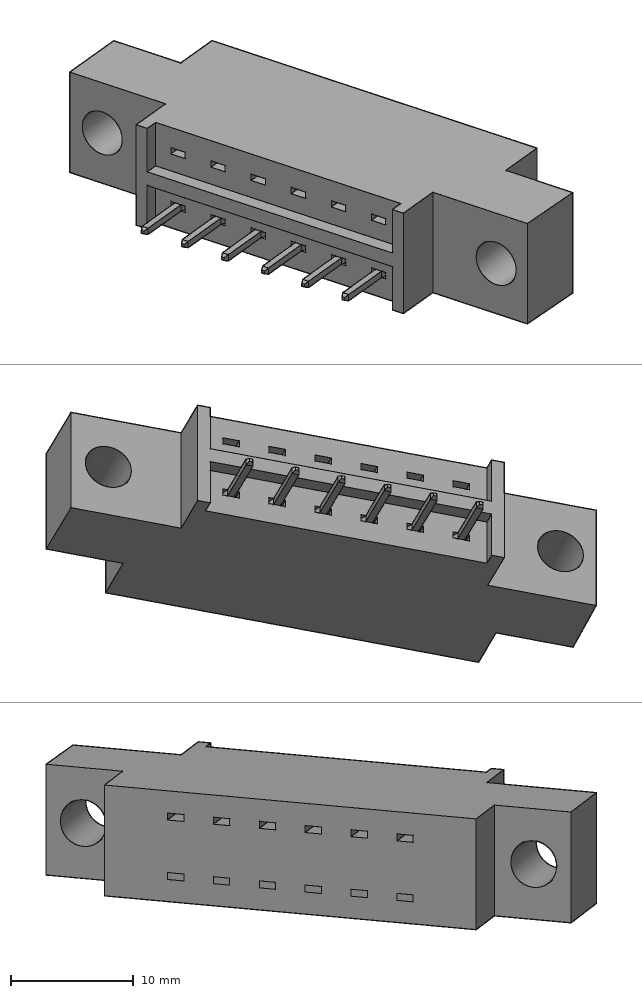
import cadquery as cq

height = 9.4
depth = 15.2
front_width = 26.35
front_depth = 4.25
ear_width = 45.3
ear_depth = 6.4
ear_taper = 0.15
back_width = 32.1

hole_spacing = 38.88
hole_diameter = 3.95

recess_width = 24.2
recess_depth = 1.22
web_thickness = 1.25

contact_count = 6
row_length = 19.8
row_inset = 2.17
slot_width = 1.4
slot_height = 0.6

tail_size = 0.6
tail_reach = 3.9
tip_length = 0.35
tip_size = 0.25
shoulder_length = 0.9

pitch = row_length / (contact_count - 1)
contact_xs = [i * pitch - row_length / 2 for i in range(contact_count)]
row_z = height / 2 - row_inset
ear_back_y = front_depth + ear_depth


def make_body():
    """Stepped block with its ears, extruded over the full height."""
    outline = [
        (-front_width / 2, 0),
        (front_width / 2, 0),
        (front_width / 2, front_depth),
        (ear_width / 2 - ear_taper, front_depth),
        (ear_width / 2, ear_back_y),
        (back_width / 2, ear_back_y),
        (back_width / 2, depth),
        (-back_width / 2, depth),
        (-back_width / 2, ear_back_y),
        (-ear_width / 2, ear_back_y),
        (-ear_width / 2, front_depth),
        (-front_width / 2, front_depth),
    ]
    return cq.Workplane("XY").polyline(outline).close().extrude(height / 2, both=True)


def make_mounting_holes():
    """Cylinders that run through the ears along Y."""
    return (
        cq.Workplane("XZ")
        .pushPoints([(-hole_spacing / 2, 0), (hole_spacing / 2, 0)])
        .circle(hole_diameter / 2)
        .extrude(-depth)
    )


def make_recesses():
    """Shallow blocks that leave the web and the two end walls standing."""
    recess_height = (height - web_thickness) / 2
    recess_z = (height + web_thickness) / 4
    return (
        cq.Workplane("XZ")
        .pushPoints([(0, -recess_z), (0, recess_z)])
        .rect(recess_width, recess_height)
        .extrude(-recess_depth)
    )


def make_slots():
    """Both rows of slots, from front to back."""
    return (
        cq.Workplane("XZ")
        .pushPoints([(x, z) for z in (-row_z, row_z) for x in contact_xs])
        .rect(slot_width, slot_height)
        .extrude(-depth)
    )


def make_contact(x):
    """Blade with sloping shoulders, square tail and tapered tip."""
    shoulder_front_y = recess_depth
    shoulder_back_y = shoulder_front_y + shoulder_length
    tail_front_y = tip_length - tail_reach
    outline = [
        (-slot_width / 2, depth),
        (-slot_width / 2, shoulder_back_y),
        (-tail_size / 2, shoulder_front_y),
        (-tail_size / 2, tail_front_y),
        (tail_size / 2, tail_front_y),
        (tail_size / 2, shoulder_front_y),
        (slot_width / 2, shoulder_back_y),
        (slot_width / 2, depth),
    ]
    blade_and_tail = cq.Workplane("XY").polyline(outline).close().extrude(slot_height / 2, both=True)
    tip = (
        cq.Workplane("XZ", origin=(0, tail_front_y, 0))
        .rect(tail_size, slot_height)
        .workplane(offset=tip_length)
        .rect(tip_size, tip_size)
        .loft()
    )
    return blade_and_tail.union(tip).translate((x, 0, -row_z))


housing = make_body().cut(make_mounting_holes()).cut(make_recesses()).cut(make_slots())
contacts = [make_contact(x) for x in contact_xs]

result = cq.Compound.makeCompound([housing.val(), *[contact.val() for contact in contacts]])